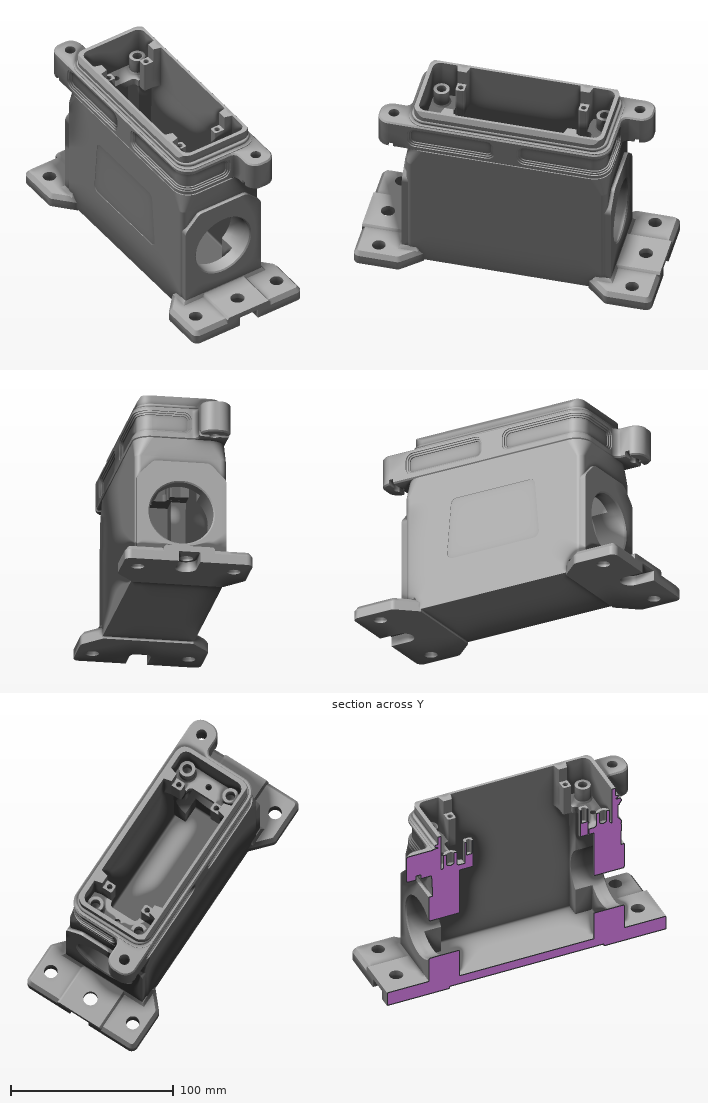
import cadquery as cq
import math

TOTAL_LENGTH = 189.0
TOTAL_WIDTH = 80.0
TOTAL_HEIGHT = 119.9

BODY_BOTTOM = 1.5
BODY_HALF_X, BODY_HALF_Y = 63.9, 28.6
BODY_TOP_HALF_X = 64.5
BODY_EDGE_RADIUS = 3.7
BLEND_START = 79.0

COLLAR_BOTTOM, COLLAR_TOP = 91.0, 110.9
CROWN_TOP = 111.4
COLLAR_HALF_X, COLLAR_HALF_Y = 64.5, 28.8
COLLAR_RADIUS = 11.0
COLLAR_CHAMFER = 0.9
BEAD_BOTTOM, BEAD_TOP = 111.7, 114.2
BEAD_HALF_X, BEAD_HALF_Y = 62.2, 26.7
BEAD_RADIUS = 9.4
BEAD_ROUNDING = 1.2
RIM_HALF_X, RIM_HALF_Y = 60.2, 26.0
RIM_RADIUS = 7.4
RIM_BEVEL_WIDTH, RIM_BEVEL_HEIGHT = 2.0, 3.0

EAR_END_X = 82.4
EAR_INNER_Y = 10.2
EAR_RADIUS = 7.6
EAR_ROOT_RADIUS = 4.0
EAR_HOLE_X, EAR_HOLE_Y = 73.3, 19.4
EAR_HOLE_DIAMETER = 6.7
EAR_NOTCH = 3.1

POCKET_BOTTOM, POCKET_TOP = 94.1, 108.6
POCKET_DEPTH = 2.4
POCKET_BEVEL = 2.2
POCKET_STEPS = 3
POCKET_RADIUS = 5.0
SHORT_POCKET_X = (-62.8, -7.6)
LONG_POCKET_START_X = 6.6
LONG_POCKET_END_Y = 6.5

PAD_HALF_X, PAD_HALF_Y = 66.3, 28.0
PAD_TOP = 75.3
PAD_CHAMFER = 10.5
PAD_RADIUS = 5.0
ENTRY_DIAMETER = 40.0
ENTRY_HEIGHT = 42.1
ENTRY_CHAMFER = 0.8

CAVITY_HALF_X, CAVITY_HALF_Y = 57.7, 22.3
CAVITY_RADIUS = 5.0
CAVITY_FLOOR = 8.0
CAVITY_DRAFT = 1.0
FLOOR_FILLET = 1.2
SHELF_BOTTOM, SHELF_TOP = 89.5, 94.0
SHELF_EDGE_X = 45.4
SHELF_TAB_X = 42.0
SHELF_TAB_Y = 10.0
SHELF_BLOCK_Y = 13.0
SHELF_TAB_RADIUS = 2.8
WALL_OVERLAP = 1.0
SHELF_HOLE_X, SHELF_HOLE_DIAMETER = 51.5, 4.0
BOSS_X, BOSS_Y = 51.7, 15.9
BOSS_TOP = 104.4
BOSS_DIAMETER, BOSS_FOOT_DIAMETER = 10.0, 12.0
BOSS_HOLE_DIAMETER, BOSS_HOLE_DEPTH = 6.0, 8.0
PILLAR_X = 39.0
PILLAR_HALF_WIDTH = 2.8
PILLAR_INNER_Y, PILLAR_OUTER_Y = 10.7, 17.3
PILLAR_TOP = 110.0
PILLAR_ROUNDING = 1.2
PILLAR_HOLE_Y, PILLAR_HOLE_DIAMETER, PILLAR_HOLE_DEPTH = 13.8, 3.41, 10.0
RIB_ROOT_HALF_WIDTH = 4.5
RIB_ROOT_Y = 23.7

FOOT_TOP = 8.7
FOOT_BEVEL_WIDTH, FOOT_BEVEL_HEIGHT = 2.2, 2.75
FOOT_CORNER_RADIUS = 4.0
FOOT_SHOULDER_X = 65.4
FOOT_INNER_X, FOOT_INNER_Y = 52.2, 28.2
STRIP_TOP = 10.1
STRIP_HALF_WIDTH = 16.0
STRIP_BEVEL = STRIP_TOP - FOOT_TOP
SIDE_HOLE_X, SIDE_HOLE_Y, SIDE_HOLE_DIAMETER = 80.3, 30.1, 8.4
CENTRE_HOLE_X, CENTRE_HOLE_DIAMETER = 81.8, 8.8
CHANNEL_WIDTH, CHANNEL_HEIGHT = 13.4, 6.4
SKIRT_HEIGHT = 1.7
SKIRT_INNER_X = 55.2

PANEL_BOTTOM, PANEL_TOP = 30.6, 70.7
PANEL_BOTTOM_HALF, PANEL_TOP_HALF = 33.4, 30.0
PANEL_RADIUS = 4.0
PANEL_DEPTH = 0.3

BEVEL_ANGLE = 45.0
CLEARANCE = 1.0


def box(x0, x1, y0, y1, z0, z1):
    return cq.Workplane("XY").box(x1 - x0, y1 - y0, z1 - z0, centered=False).translate((x0, y0, z0))


def cylinder(x, y, z0, z1, diameter):
    return cq.Workplane("XY").workplane(offset=z0).center(x, y).circle(diameter / 2).extrude(z1 - z0)


def rounded_block(half_x, half_y, radius, z0, z1):
    return box(-half_x, half_x, -half_y, half_y, z0, z1).edges("|Z").fillet(radius)


def rounded_outline(half_x, half_y, radius):
    return cq.Sketch().rect(2 * half_x, 2 * half_y).vertices().fillet(radius)


def upright_edges_near(x, y):
    """Selector for edges close to the vertical line at (x, y)."""
    return cq.selectors.BoxSelector(
        (x - CLEARANCE, y - CLEARANCE, 0),
        (x + CLEARANCE, y + CLEARANCE, TOTAL_HEIGHT),
    )


def half_turn(shape):
    """The same shape on the opposite end of the part."""
    return shape.rotate((0, 0, 0), (0, 0, 1), 180)


def mirrored_y(shape):
    return shape.mirror("XZ")


def make_body():
    """Lower shell whose corners widen into the collar radius at the top."""
    lower = rounded_block(BODY_HALF_X, BODY_HALF_Y, BODY_EDGE_RADIUS, BODY_BOTTOM, BLEND_START)
    narrow = rounded_outline(BODY_HALF_X, BODY_HALF_Y, BODY_EDGE_RADIUS)
    wide = rounded_outline(BODY_TOP_HALF_X, BODY_HALF_Y, COLLAR_RADIUS)
    blend = cq.Workplane("XY").placeSketch(
        narrow.moved(cq.Location(cq.Vector(0, 0, BLEND_START))),
        wide.moved(cq.Location(cq.Vector(0, 0, COLLAR_BOTTOM))),
    ).loft(ruled=True)
    return lower.union(blend)


def make_ear():
    """Screw ear at the -X, -Y corner, reaching into the collar."""
    inside_x = -COLLAR_HALF_X + COLLAR_RADIUS
    ear = box(-EAR_END_X, inside_x, -COLLAR_HALF_Y, -EAR_INNER_Y, COLLAR_BOTTOM, COLLAR_TOP)
    return ear.edges("|Z and <X").fillet(EAR_RADIUS)


def make_collar():
    """Collar with both ears, root fillets, chamfered edges and the low crown on top."""
    collar = rounded_block(COLLAR_HALF_X, COLLAR_HALF_Y, COLLAR_RADIUS, COLLAR_BOTTOM, COLLAR_TOP)
    ear = make_ear()
    collar = collar.union(ear).union(half_turn(ear))
    roots = upright_edges_near(-COLLAR_HALF_X, -EAR_INNER_Y) + upright_edges_near(COLLAR_HALF_X, EAR_INNER_Y)
    collar = collar.edges("|Z").edges(roots).fillet(EAR_ROOT_RADIUS)
    collar = collar.faces("<Z or >Z").chamfer(COLLAR_CHAMFER)
    crown = rounded_block(COLLAR_HALF_X - COLLAR_CHAMFER, COLLAR_HALF_Y - COLLAR_CHAMFER,
                          COLLAR_RADIUS - COLLAR_CHAMFER, COLLAR_TOP, CROWN_TOP)
    return collar.union(crown)


def ear_cuts():
    """Screw hole and underside notch of the -X ear."""
    hole = cylinder(-EAR_HOLE_X, -EAR_HOLE_Y, COLLAR_BOTTOM, COLLAR_TOP, EAR_HOLE_DIAMETER)
    notch = box(
        -EAR_HOLE_X - EAR_NOTCH / 2, -EAR_HOLE_X + EAR_NOTCH / 2,
        -COLLAR_HALF_Y, -EAR_INNER_Y + EAR_ROOT_RADIUS,
        COLLAR_BOTTOM, COLLAR_BOTTOM + EAR_NOTCH,
    )
    return hole.union(notch)


def make_rim():
    """Plug rim with bevelled long sides and the rounded bead around its base."""
    neck = rounded_block(RIM_HALF_X, RIM_HALF_Y, RIM_RADIUS, COLLAR_TOP, TOTAL_HEIGHT)
    bead = rounded_block(BEAD_HALF_X, BEAD_HALF_Y, BEAD_RADIUS, BEAD_BOTTOM, BEAD_TOP)
    bead = bead.faces("<Z or >Z").edges().fillet(BEAD_ROUNDING)
    profile = [
        (-RIM_HALF_Y, COLLAR_TOP),
        (RIM_HALF_Y, COLLAR_TOP),
        (RIM_HALF_Y, TOTAL_HEIGHT - RIM_BEVEL_HEIGHT),
        (RIM_HALF_Y - RIM_BEVEL_WIDTH, TOTAL_HEIGHT),
        (-RIM_HALF_Y + RIM_BEVEL_WIDTH, TOTAL_HEIGHT),
        (-RIM_HALF_Y, TOTAL_HEIGHT - RIM_BEVEL_HEIGHT),
    ]
    envelope = cq.Workplane("YZ").polyline(profile).close().extrude(RIM_HALF_X, both=True)
    return neck.intersect(envelope).union(bead)


def pocket_level(depth, inset):
    """Both grip pockets of the front half, cut to one depth with the mouth shrunk by inset."""
    z0, z1 = POCKET_BOTTOM + inset, POCKET_TOP - inset
    radius = POCKET_RADIUS - inset
    outer_y, outer_x = COLLAR_HALF_Y + CLEARANCE, COLLAR_HALF_X + CLEARANCE
    short = box(SHORT_POCKET_X[0] + inset, SHORT_POCKET_X[1] - inset,
                -outer_y, -COLLAR_HALF_Y + depth, z0, z1).edges("|Y").fillet(radius)
    front = box(LONG_POCKET_START_X + inset, outer_x, -outer_y, 0, z0, z1)
    front = front.edges("|Y and <X").fillet(radius)
    end = box(COLLAR_HALF_X - COLLAR_RADIUS, outer_x, -outer_y, LONG_POCKET_END_Y - inset, z0, z1)
    end = end.edges("|X and >Y").fillet(radius)
    core = rounded_block(COLLAR_HALF_X - depth, COLLAR_HALF_Y - depth, COLLAR_RADIUS - depth,
                         COLLAR_BOTTOM, COLLAR_TOP)
    return short.union(front.union(end).cut(core))


def grip_pockets():
    """Pockets whose mouth narrows toward the floor in equal steps."""
    cutter = pocket_level(POCKET_DEPTH / POCKET_STEPS, 0)
    for step in range(1, POCKET_STEPS):
        depth = POCKET_DEPTH * (step + 1) / POCKET_STEPS
        inset = POCKET_BEVEL * step / (POCKET_STEPS - 1)
        cutter = cutter.union(pocket_level(depth, inset))
    return cutter


def make_foot():
    """Foot at the -X end: bevelled plate with a raised centre strip."""
    end_x, half_y = TOTAL_LENGTH / 2, TOTAL_WIDTH / 2
    outline = [
        (-end_x, -half_y),
        (-FOOT_SHOULDER_X, -half_y),
        (-FOOT_INNER_X, -FOOT_INNER_Y),
        (-FOOT_INNER_X, FOOT_INNER_Y),
        (-FOOT_SHOULDER_X, half_y),
        (-end_x, half_y),
    ]
    bevel_start = FOOT_TOP - FOOT_BEVEL_HEIGHT
    bevel_angle = math.degrees(math.atan(FOOT_BEVEL_WIDTH / FOOT_BEVEL_HEIGHT))
    plate = cq.Workplane("XY").polyline(outline).close().extrude(bevel_start)
    plate = plate.edges("|Z").edges("<X or >Y or <Y").fillet(FOOT_CORNER_RADIUS)
    bevel = plate.faces(">Z").wires().toPending().workplane().extrude(
        FOOT_BEVEL_HEIGHT, taper=bevel_angle, combine=False)
    plate = plate.union(bevel)
    strip = box(-end_x, -FOOT_INNER_X, -STRIP_HALF_WIDTH, STRIP_HALF_WIDTH, 0, STRIP_TOP)
    strip = strip.edges("|X and >Z").chamfer(STRIP_BEVEL)
    return plate.union(strip)


def foot_cuts():
    """Mounting holes of the -X foot and the open channel under its centre."""
    cuts = cylinder(-CENTRE_HOLE_X, 0, 0, STRIP_TOP, CENTRE_HOLE_DIAMETER)
    for side in (-1, 1):
        cuts = cuts.union(cylinder(-SIDE_HOLE_X, side * SIDE_HOLE_Y, 0, FOOT_TOP, SIDE_HOLE_DIAMETER))
    channel = box(-TOTAL_LENGTH / 2, -CENTRE_HOLE_X, -CHANNEL_WIDTH / 2, CHANNEL_WIDTH / 2, 0, CHANNEL_HEIGHT)
    channel = channel.union(cylinder(-CENTRE_HOLE_X, 0, 0, CHANNEL_HEIGHT, CHANNEL_WIDTH))
    return cuts.union(channel)


def make_pad():
    """Flat boss on the -X wall around the cable entry, with a sloped skirt at the foot."""
    pad = box(-PAD_HALF_X, -CAVITY_HALF_X, -PAD_HALF_Y, PAD_HALF_Y, BODY_BOTTOM, PAD_TOP)
    pad = pad.edges("|X and >Z").chamfer(PAD_CHAMFER)
    pad = pad.edges("|X").edges(cq.selectors.BoxSelector(
        (-PAD_HALF_X, -PAD_HALF_Y - CLEARANCE, PAD_TOP - PAD_CHAMFER - CLEARANCE),
        (-CAVITY_HALF_X, PAD_HALF_Y + CLEARANCE, PAD_TOP + CLEARANCE),
    )).fillet(PAD_RADIUS)
    skirt_end_x = -PAD_HALF_X - SKIRT_HEIGHT
    skirt_half_y = BODY_HALF_Y + SKIRT_HEIGHT
    skirt = cq.Workplane("XY").workplane(offset=FOOT_TOP)
    skirt = skirt.center((skirt_end_x - SKIRT_INNER_X) / 2, 0)
    skirt = skirt.rect(-SKIRT_INNER_X - skirt_end_x, 2 * skirt_half_y)
    return pad.union(skirt.extrude(SKIRT_HEIGHT, taper=BEVEL_ANGLE))


def cable_entry():
    """Bore through the -X wall and past the shelf blocks, with a chamfered mouth."""
    length = PAD_HALF_X - SHELF_TAB_X
    radius = ENTRY_DIAMETER / 2
    start = cq.Workplane("YZ").workplane(offset=-PAD_HALF_X).center(0, ENTRY_HEIGHT)
    bore = start.circle(radius).extrude(length)
    mouth = start.circle(radius + ENTRY_CHAMFER).extrude(ENTRY_CHAMFER, taper=BEVEL_ANGLE)
    return bore.union(mouth)


def make_cavity():
    """Straight upper chamber over a lower chamber that narrows to a filleted floor."""
    upper = rounded_block(CAVITY_HALF_X, CAVITY_HALF_Y, CAVITY_RADIUS, SHELF_BOTTOM, TOTAL_HEIGHT)
    depth = SHELF_BOTTOM - CAVITY_FLOOR
    draft_angle = math.degrees(math.atan(CAVITY_DRAFT / depth))
    mouth = rounded_outline(CAVITY_HALF_X, CAVITY_HALF_Y, CAVITY_RADIUS)
    lower = cq.Workplane("XY").workplane(offset=SHELF_BOTTOM).placeSketch(mouth)
    lower = lower.extrude(-depth, taper=draft_angle)
    lower = lower.faces("<Z").edges().fillet(FLOOR_FILLET)
    return upper.union(lower)


def screw_boss(y):
    """Round boss on the shelf with a conical foot."""
    foot_height = (BOSS_FOOT_DIAMETER - BOSS_DIAMETER) / 2
    boss = cylinder(-BOSS_X, y, SHELF_TOP, BOSS_TOP, BOSS_DIAMETER)
    foot = cq.Workplane("XY").workplane(offset=SHELF_TOP).center(-BOSS_X, y).circle(BOSS_FOOT_DIAMETER / 2)
    foot = foot.extrude(foot_height, taper=BEVEL_ANGLE)
    return boss.union(foot)


def boss_hole(y):
    """Blind hole with a drill-point bottom."""
    radius = BOSS_HOLE_DIAMETER / 2
    profile = [
        (0, BOSS_TOP),
        (radius, BOSS_TOP),
        (radius, BOSS_TOP - BOSS_HOLE_DEPTH),
        (0, BOSS_TOP - BOSS_HOLE_DEPTH - radius),
    ]
    hole = cq.Workplane("XZ").polyline(profile).close().revolve(360, (0, 0), (0, 1))
    return hole.translate((-BOSS_X, y, 0))


def make_pillar():
    """Screw pillar on the +Y side with the tapered rib that ties it to the wall."""
    pillar = box(-PILLAR_X - PILLAR_HALF_WIDTH, -PILLAR_X + PILLAR_HALF_WIDTH,
                 PILLAR_INNER_Y, PILLAR_OUTER_Y, SHELF_BOTTOM, PILLAR_TOP)
    pillar = pillar.edges("|Z and <Y").fillet(PILLAR_ROUNDING)
    rib_outline = [
        (-PILLAR_X - PILLAR_HALF_WIDTH, PILLAR_OUTER_Y),
        (-PILLAR_X + PILLAR_HALF_WIDTH, PILLAR_OUTER_Y),
        (-PILLAR_X + RIB_ROOT_HALF_WIDTH, RIB_ROOT_Y),
        (-PILLAR_X - RIB_ROOT_HALF_WIDTH, RIB_ROOT_Y),
    ]
    rib = cq.Workplane("XY").workplane(offset=SHELF_BOTTOM).polyline(rib_outline).close()
    rib = rib.extrude(TOTAL_HEIGHT - SHELF_BOTTOM)
    hole = cylinder(-PILLAR_X, PILLAR_HOLE_Y, PILLAR_TOP - PILLAR_HOLE_DEPTH, PILLAR_TOP,
                    PILLAR_HOLE_DIAMETER)
    return pillar.union(rib).cut(hole)


def make_shelf():
    """Shelf across the -X end of the cavity, on two blocks, with two screw bosses and two pillars."""
    in_wall_x = -CAVITY_HALF_X - WALL_OVERLAP
    in_wall_y = CAVITY_HALF_Y + WALL_OVERLAP
    shelf = box(in_wall_x, -SHELF_EDGE_X, -CAVITY_HALF_Y, CAVITY_HALF_Y, SHELF_BOTTOM, SHELF_TOP)
    for side in (-1, 1):
        inner, outer = sorted((side * SHELF_TAB_Y, side * CAVITY_HALF_Y))
        shelf = shelf.union(box(-SHELF_EDGE_X, -SHELF_TAB_X, inner, outer, SHELF_BOTTOM, SHELF_TOP))
    corners = upright_edges_near(-SHELF_EDGE_X, -SHELF_TAB_Y) + upright_edges_near(-SHELF_EDGE_X, SHELF_TAB_Y)
    shelf = shelf.edges("|Z").edges(corners).fillet(SHELF_TAB_RADIUS)
    for side in (-1, 1):
        inner, outer = sorted((side * SHELF_BLOCK_Y, side * in_wall_y))
        shelf = shelf.union(box(in_wall_x, -SHELF_EDGE_X, inner, outer, CAVITY_FLOOR, SHELF_BOTTOM))
    shelf = shelf.cut(cylinder(-SHELF_HOLE_X, 0, SHELF_BOTTOM, SHELF_TOP, SHELF_HOLE_DIAMETER))
    for side in (-1, 1):
        shelf = shelf.union(screw_boss(side * BOSS_Y))
        shelf = shelf.cut(boss_hole(side * BOSS_Y))
    pillar = make_pillar()
    return shelf.union(pillar).union(mirrored_y(pillar))


def label_panel():
    """Shallow recess on the -Y wall."""
    outline = [
        (-PANEL_BOTTOM_HALF, PANEL_BOTTOM),
        (PANEL_BOTTOM_HALF, PANEL_BOTTOM),
        (PANEL_TOP_HALF, PANEL_TOP),
        (-PANEL_TOP_HALF, PANEL_TOP),
    ]
    panel = cq.Workplane("XZ").workplane(offset=BODY_HALF_Y - PANEL_DEPTH).polyline(outline).close()
    return panel.extrude(PANEL_DEPTH + CLEARANCE).edges("|Y").fillet(PANEL_RADIUS)


foot = make_foot()
pad = make_pad()
housing = make_body().union(make_collar()).union(make_rim())
housing = housing.union(foot).union(half_turn(foot)).union(pad).union(half_turn(pad))
housing = housing.cut(make_cavity()).cut(label_panel())

shelf = make_shelf()
housing = housing.union(shelf).union(half_turn(shelf))

for cutter in (ear_cuts(), grip_pockets(), foot_cuts(), cable_entry()):
    housing = housing.cut(cutter).cut(half_turn(cutter))

result = housing